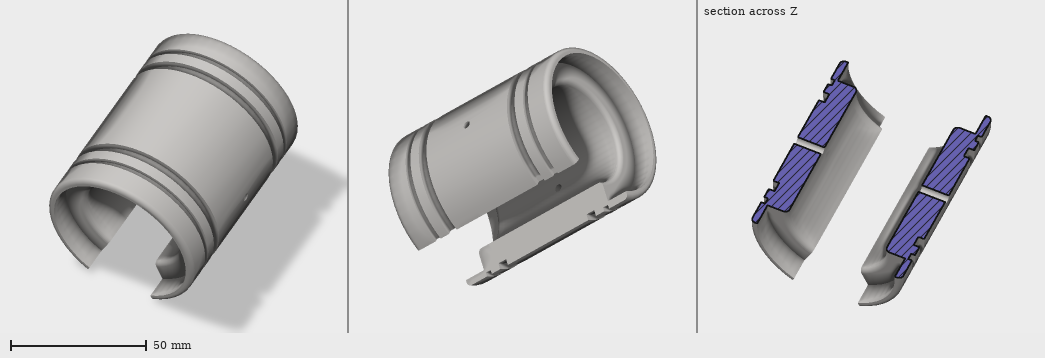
import cadquery as cq
import math

length = 79.7
outer_diameter = 61.95
outer_radius = outer_diameter / 2
overall_height = 58.5
bore_radius = 19.9
edge_round = 1.8

counterbore_radius = 28.15
counterbore_depth = 9.0

grooves = [
    (9.5, 2.4, 29.4),
    (16.0, 3.8, 28.6),
]

opening_bottom_z = outer_radius - overall_height
opening_side_angle = 24.5

cutter_overrun = 8.0

oil_hole_diameter = 3.0
oil_hole_z = 1.5


def cylinder_along_y(radius, start_y, cylinder_length):
    """Solid cylinder on the Y axis, extending toward +Y from start_y."""
    return (
        cq.Workplane("XZ", origin=(0, start_y, 0))
        .circle(radius)
        .extrude(-cylinder_length)
    )


def make_sleeve():
    """Sleeve with rounded outer ends, counterbores and rounded bore mouths."""
    end_y = length / 2
    body = cylinder_along_y(outer_radius, -end_y, length).edges().fillet(edge_round)
    bore_length = length - 2 * counterbore_depth
    land = (
        cylinder_along_y(counterbore_radius, -bore_length / 2, bore_length)
        .cut(cylinder_along_y(bore_radius, -bore_length / 2, bore_length))
        .edges(cq.selectors.RadiusNthSelector(0))
        .fillet(edge_round)
    )
    return body.cut(cylinder_along_y(counterbore_radius, -end_y, length)).union(land)


def make_groove(start_y, width, floor_radius):
    """Ring that cuts a square groove into the outside."""
    ring = cylinder_along_y(outer_radius + cutter_overrun, start_y, width)
    return ring.cut(cylinder_along_y(floor_radius, start_y, width))


def make_opening():
    """Wedge cutter whose sides meet the outside at the lowest points of the part."""
    slope = math.tan(math.radians(opening_side_angle))
    bottom_half_width = math.sqrt(outer_radius**2 - opening_bottom_z**2)
    apex_z = opening_bottom_z + bottom_half_width / slope
    cutter_bottom_z = -outer_radius - cutter_overrun
    cutter_half_width = (apex_z - cutter_bottom_z) * slope
    return (
        cq.Workplane("XZ")
        .moveTo(0, apex_z)
        .lineTo(cutter_half_width, cutter_bottom_z)
        .lineTo(-cutter_half_width, cutter_bottom_z)
        .close()
        .extrude(length / 2, both=True)
    )


def make_oil_hole():
    """Cylinder through both side walls."""
    return (
        cq.Workplane("YZ")
        .center(0, oil_hole_z)
        .circle(oil_hole_diameter / 2)
        .extrude(outer_radius, both=True)
    )


result = make_sleeve()
for end_distance, groove_width, groove_floor_radius in grooves:
    front_start = end_distance - length / 2
    back_start = length / 2 - end_distance - groove_width
    for groove_start in (front_start, back_start):
        result = result.cut(make_groove(groove_start, groove_width, groove_floor_radius))
result = result.cut(make_opening()).cut(make_oil_hole())